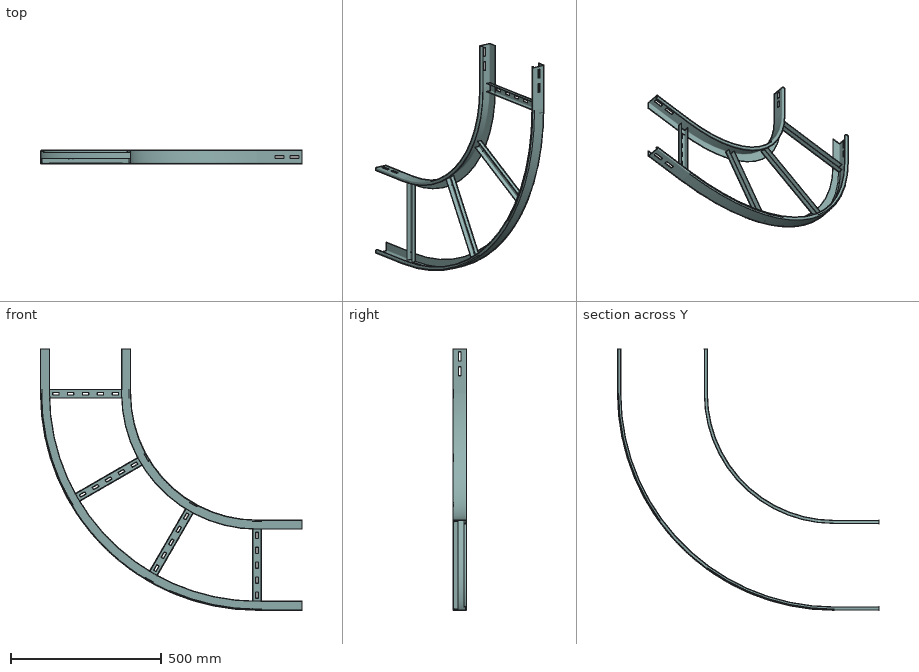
import cadquery as cq
import math

overall = 870.0
straight = 150.0
outer_radius = overall - straight
tray_width = 300.0
inner_radius = outer_radius - tray_width

sheet = 1.5
rail_bend = 4.0
rung_bend = 2.2
match_tolerance = sheet / 10

rail_height = 45.0
front_flange = 30.5
rear_flange = 12.0
rear_lip = 8.0

slot_width = 8.0
slot_pitch = 50.0
cutter_depth = 4 * sheet
rail_slot_length = 30.0
rail_slot_count = 2
rail_slot_inset = 25.0

rung_width = 30.0
rung_depth = 16.0
rung_clearance = 5.0
rung_slot_length = 20.0
rung_slot_count = 5
rung_count = 4
rung_step = 90 / (rung_count - 1)


def folded_section(outline, outside_corners, inside_corners, bend):
    """Closed sheet-metal outline with its folds rounded to outside radius `bend`."""
    wire = cq.Wire.makePolygon([cq.Vector(*point) for point in outline], close=True)
    for corners, radius in ((outside_corners, bend), (inside_corners, bend - sheet)):
        targets = [cq.Vector(*corner) for corner in corners]
        vertices = [
            v for v in wire.Vertices()
            if any((v.Center() - target).Length < match_tolerance for target in targets)
        ]
        wire = wire.fillet2D(radius, vertices)
    return wire


def rail_section(side):
    """C section with a lipped rear flange; its flanges point to +X (side 1) or -X (side -1)."""
    half = rail_height / 2
    front_in = -half + sheet
    rear_in = half - sheet
    web_in = side * sheet
    flange_tip = side * front_flange
    lip_out = side * rear_flange
    lip_in = side * (rear_flange - sheet)
    lip_end = half - rear_lip
    outside = [(0, -half), (0, half), (lip_out, half)]
    inside = [(lip_in, rear_in), (web_in, rear_in), (web_in, front_in)]
    outline = [
        (flange_tip, -half), *outside, (lip_out, lip_end),
        (lip_in, lip_end), *inside, (flange_tip, front_in),
    ]
    return folded_section(outline, outside, inside, rail_bend)


def rail_slots(radius):
    """Cutters for the slots through the web at both straight ends of a rail."""
    places = [straight - rail_slot_inset - i * slot_pitch for i in range(rail_slot_count)]
    upright = cq.Workplane().pushPoints([(-radius, 0, z) for z in places])
    level = cq.Workplane().pushPoints([(x, 0, -radius) for x in places])
    return upright.box(cutter_depth, slot_width, rail_slot_length).add(
        level.box(rail_slot_length, slot_width, cutter_depth)
    ).combine()


def rail(radius, side):
    """Rail swept down its upright end, round the bend and along its level end."""
    diagonal = -radius * math.sqrt(0.5)
    path = (
        cq.Workplane("XZ")
        .moveTo(-radius, straight)
        .lineTo(-radius, 0)
        .threePointArc((diagonal, diagonal), (0, -radius))
        .lineTo(straight, -radius)
    )
    section = rail_section(side).moved(cq.Location(cq.Vector(-radius, 0, straight)))
    body = cq.Workplane(section).toPending().sweep(path)
    return body.cut(rail_slots(radius), clean=False)


def rung(angle):
    """Slotted channel lying on the front flanges, open to the rear, turned about the bend axis."""
    start = -outer_radius + rung_clearance
    end = -inner_radius - rung_clearance
    middle = (start + end) / 2
    front = -rail_height / 2 + sheet
    half = rung_width / 2
    rear = front + rung_depth
    outside = [(front, half), (front, -half)]
    inside = [(front + sheet, -half + sheet), (front + sheet, half - sheet)]
    outline = [
        (rear, half), *outside, (rear, -half),
        (rear, -half + sheet), *inside, (rear, half - sheet),
    ]
    section = folded_section(outline, outside, inside, rung_bend).moved(
        cq.Location(cq.Plane.YZ(origin=(start, 0, 0)))
    )
    channel = cq.Workplane(cq.Solid.extrudeLinear(section, [], cq.Vector(end - start, 0, 0)))
    first = middle - (rung_slot_count - 1) / 2 * slot_pitch
    slots = (
        cq.Workplane()
        .pushPoints([(first + i * slot_pitch, front, 0) for i in range(rung_slot_count)])
        .box(rung_slot_length, cutter_depth, slot_width)
    )
    return channel.cut(slots).rotate((0, 0, 0), (0, 1, 0), -angle)


outer_rail = rail(outer_radius, 1)
inner_rail = rail(inner_radius, -1)
rungs = [rung(i * rung_step) for i in range(rung_count)]

result = cq.Compound.makeCompound(
    [outer_rail.val(), inner_rail.val(), *[body.val() for body in rungs]]
)